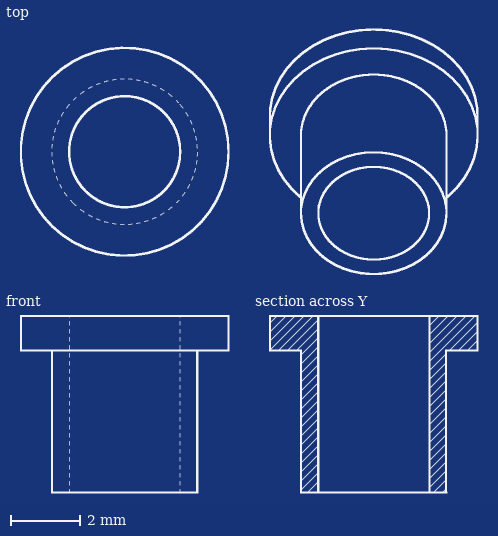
import cadquery as cq

flange_diameter = 6.0
sleeve_diameter = 4.2
bore_diameter = 3.2
total_height = 5.1
flange_thickness = 1.0
sleeve_length = total_height - flange_thickness

sleeve = cq.Workplane("XY").circle(sleeve_diameter / 2).extrude(sleeve_length)

body = sleeve.faces(">Z").workplane().circle(flange_diameter / 2).extrude(flange_thickness)

result = body.faces(">Z").workplane().circle(bore_diameter / 2).cutThruAll()